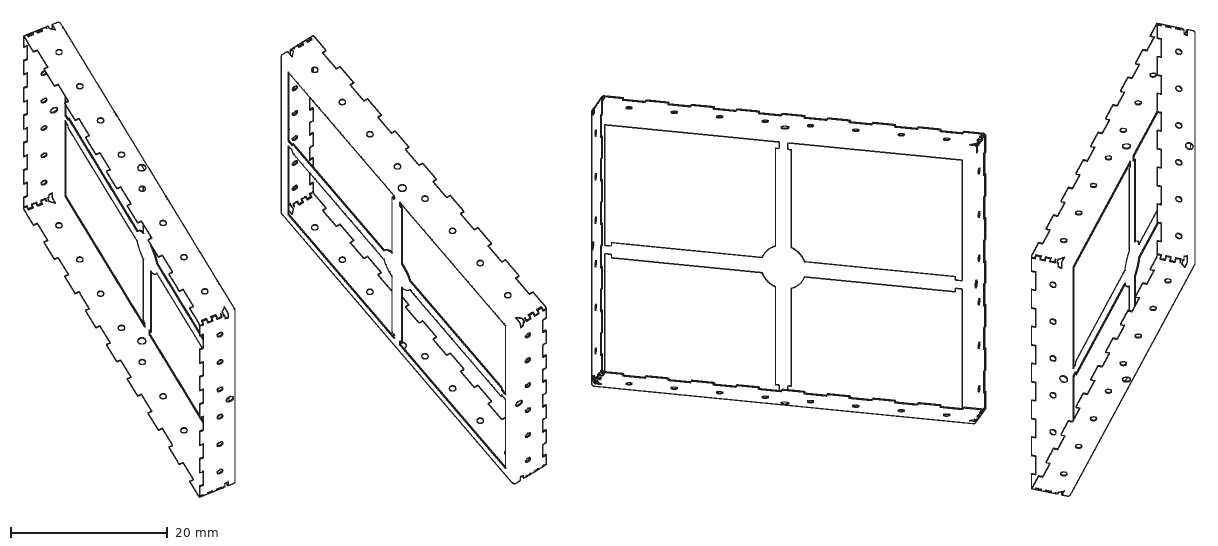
import cadquery as cq

length = 50.8
depth = 5.2
height = 38.1
sheet = 0.15
outer_bend = 0.35
back_y = depth / 2
front_y = -depth / 2

side_rim = 1.8
top_rim = 1.9
spoke_width = 2.1
neck_width = 1.1
neck_length = 0.9
neck_fillet = 0.15
hub_diameter = 6.0
window_length = length - 2 * side_rim
window_height = height - 2 * top_rim

pitch = 6.0
long_wall_count = 8
short_wall_count = 6
hole_diameter = 0.8
hole_offset = 2.3
center_hole_diameter = 1.0
center_hole_offset = 0.85
notch_width = 3.0
notch_depth = 0.55

relief_start = 1.1
relief_reach = 1.1
long_wall_relief_width = 0.6
long_wall_relief_taper = 0.55
short_wall_relief_width = 0.45
short_wall_relief_taper = 0.15
finger_start = 2.05
finger_width = 0.65
finger_count = 5
slit = 0.05
long_wall_gap = 0.15
corner_reach = outer_bend


def block(x_range, y_range, z_range):
    """Box between the given limits."""
    size = [high - low for low, high in (x_range, y_range, z_range)]
    start = (x_range[0], y_range[0], z_range[0])
    return cq.Workplane("XY").box(*size, centered=False).translate(start)


def rounded_block(inset, radius):
    """Box inset from the outside, rounded at its corners and back, and open-ended at the front."""
    body = cq.Workplane("XY").box(length - 2 * inset, depth - inset, height - 2 * inset)
    body = body.translate((0, -inset / 2, 0))
    return body.edges("|Y").fillet(radius).faces(">Y").edges().fillet(radius)


def spoke(span, along_x):
    """Strip across the window with a narrow neck at each end."""
    wide_span = span - 2 * neck_length
    wide_size = (wide_span, spoke_width) if along_x else (spoke_width, wide_span)
    neck_size = (span, neck_width) if along_x else (neck_width, span)
    wide = cq.Workplane("XZ").rect(*wide_size).extrude(sheet)
    neck = cq.Workplane("XZ").rect(*neck_size).extrude(sheet)
    return wide.union(neck).translate((0, back_y, 0))


def is_neck_corner(edge):
    """Whether an edge along Y stands at the end of a neck side, half a neck width off the axis."""
    tolerance = 0.005
    center = edge.Center()
    offset = min(abs(center.x), abs(center.z))
    return abs(offset - neck_width / 2) < tolerance


def centered_positions(count):
    """Positions at the common pitch, centred on zero."""
    return [(i - (count - 1) / 2) * pitch for i in range(count)]


def wall_cuts(count, through):
    """Holes and front notches of two facing walls, arranged along X and cut along Z."""
    hole_points = [(x, back_y - hole_offset) for x in centered_positions(count)]
    notch_points = [(x, front_y) for x in centered_positions(count)]
    base = cq.Workplane("XY", origin=(0, 0, -through / 2))
    holes = base.pushPoints(hole_points).circle(hole_diameter / 2).extrude(through)
    notches = base.pushPoints(notch_points).rect(notch_width, 2 * notch_depth).extrude(through)
    center_hole = base.pushPoints([(0, back_y - center_hole_offset)]).circle(center_hole_diameter / 2)
    return holes.union(notches).union(center_hole.extrude(through))


def relief(outer, width, taper, thickness):
    """Tapered relief in an XY wall, running along +X from the outer limit and upward from Z = 0."""
    back = back_y - relief_start
    outline = [
        (outer, back),
        (outer + relief_reach, back),
        (outer + relief_reach - taper, back - width),
        (outer, back - width),
    ]
    return cq.Workplane("XY").polyline(outline).close().extrude(thickness)


def corner_cut():
    """Relief and finger slits of the corner at -X, +Z."""
    left = -length / 2
    top = height / 2
    long_relief = relief(left, long_wall_relief_width, long_wall_relief_taper, corner_reach)
    short_relief = relief(-top, short_wall_relief_width, short_wall_relief_taper, corner_reach)
    short_relief = short_relief.rotate((0, 0, 0), (0, 1, 0), 90).translate((left, 0, 0))
    cut = long_relief.translate((0, 0, top - corner_reach)).union(short_relief)
    corner_x = (left, left + corner_reach)
    corner_z = (top - corner_reach, top)
    for i in range(finger_count):
        finger_back = back_y - finger_start - i * finger_width
        finger_front = max(finger_back - finger_width, front_y)
        slit_range = (finger_back - slit / 2, finger_back + slit / 2)
        finger_range = (finger_front - slit / 2, finger_back + slit / 2)
        cut = cut.union(block(corner_x, slit_range, corner_z))
        if i % 2:
            gap_x = (corner_x[1], corner_x[1] + long_wall_gap)
            cut = cut.union(block(gap_x, finger_range, corner_z))
        else:
            gap_z = (corner_z[0] - slit, corner_z[0])
            cut = cut.union(block(corner_x, finger_range, gap_z))
    return cut


frame = rounded_block(0, outer_bend).cut(rounded_block(sheet, outer_bend - sheet))

frame = frame.cut(cq.Workplane("XY").box(window_length, 2 * depth, window_height))
frame = frame.union(spoke(window_length, True)).union(spoke(window_height, False))
neck_corners = [edge for edge in frame.edges("|Y").vals() if is_neck_corner(edge)]
frame = frame.newObject(neck_corners).fillet(neck_fillet)
hub = cq.Workplane("XZ", origin=(0, back_y, 0)).circle(hub_diameter / 2).extrude(sheet)
frame = frame.union(hub)

frame = frame.cut(wall_cuts(long_wall_count, height))
frame = frame.cut(wall_cuts(short_wall_count, length).rotate((0, 0, 0), (0, 1, 0), 90))

corner = corner_cut()
for joint in (corner, corner.mirror("YZ")):
    frame = frame.cut(joint).cut(joint.mirror("XY"))

result = frame.solids()